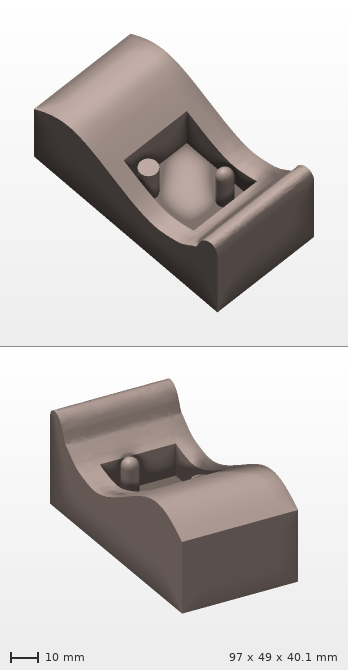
import cadquery as cq

length = 97.0
width = 49.0
low_end_height = 29.9

hump = (18.2, 37.5)
slope_middle = (40.7, 29.5)
slope_foot = (54.3, 22.9)
saddle = (64.3, 20.7)
saddle_end = (72.3, 22.0)
rise_middle = (79.25, 24.9)
rise_end = (84.6, 29.3)
lip_start = (87.5, 34.2)

lip_shoulder = (89.6, 38.0)
lip_top = (93.1, 40.1)
lip_end_height = 35.2

low_end_direction = (1.0, 0.7)
lip_direction = (1.0, 2.6)
downward = (0.0, -1.0)

pocket_length = 37.1
pocket_width = 32.0
pocket_center = (58.0, -0.9)
floor_height = 10.0

pin_diameter = 7.0
pin_center = (67.5, 7.6)
shoulder_height = 25.0

post_diameter = 8.0
post_center = (45.4, -10.0)


def make_body():
    profile = (
        cq.Workplane("XZ", origin=(0, width / 2, 0))
        .lineTo(0, low_end_height)
        .spline(
            [hump, slope_middle, slope_foot, saddle, saddle_end, rise_middle, rise_end, lip_start],
            tangents=[low_end_direction, lip_direction],
            includeCurrent=True,
        )
        .spline(
            [lip_shoulder, lip_top, (length, lip_end_height)],
            tangents=[lip_direction, downward],
            includeCurrent=True,
        )
        .lineTo(length, 0)
        .close()
    )
    return profile.extrude(width)


def make_pocket():
    floor = cq.Workplane("XY", origin=(*pocket_center, floor_height))
    return floor.rect(pocket_length, pocket_width).extrude(lip_top[1])


def make_shaft(center, diameter):
    return cq.Workplane("XY").center(*center).circle(diameter / 2).extrude(shoulder_height)


def make_pin():
    dome = cq.Workplane("XY", origin=(*pin_center, shoulder_height)).sphere(pin_diameter / 2)
    return make_shaft(pin_center, pin_diameter).union(dome)


def make_post():
    return make_shaft(post_center, post_diameter)


result = make_body().cut(make_pocket()).union(make_pin()).union(make_post())